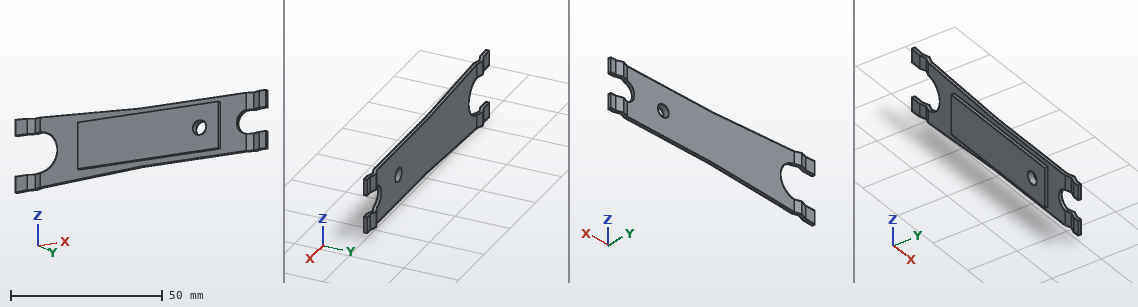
import cadquery as cq
import math

LENGTH = 95.0
HALF_LENGTH = LENGTH / 2
THICKNESS = 1.2
WIDE_END = 25.0
NARROW_END = 19.95

WIDE_SLOT = 14.1
WIDE_SLOT_DEPTH = 15.9
NARROW_SLOT = 8.3
NARROW_SLOT_DEPTH = 11.0

RIDGE_RISE = 0.9
RIDGE_HALF_WIDTH = 2.5
WIDE_RIDGE_INSET = 7.0
NARROW_RIDGE_INSET = 5.0

PAD_LENGTH = 53.3
PAD_HEIGHT = 16.0
PAD_THICKNESS = 1.2
PAD_CENTER_X = 3.5
HOLE_DIAMETER = 5.0
HOLE_X = 23.0


def ridge_points(center_x, offset):
    """Foot, apex and foot of a ridge on the surface lying offset above the -Y face of the sheet."""
    slope = math.atan2(RIDGE_RISE, RIDGE_HALF_WIDTH)
    half_width = RIDGE_HALF_WIDTH + offset * math.tan(slope / 2)
    apex_y = RIDGE_RISE + offset / math.cos(slope)
    return [
        (center_x - half_width, offset),
        (center_x, apex_y),
        (center_x + half_width, offset),
    ]


def folded_sheet():
    """Sheet of even thickness with two ridges, as tall as the wide end."""
    wide_ridge_x = -HALF_LENGTH + WIDE_RIDGE_INSET
    narrow_ridge_x = HALF_LENGTH - NARROW_RIDGE_INSET
    front = [
        (-HALF_LENGTH, 0),
        *ridge_points(wide_ridge_x, 0),
        *ridge_points(narrow_ridge_x, 0),
        (HALF_LENGTH, 0),
    ]
    back = [
        (-HALF_LENGTH, THICKNESS),
        *ridge_points(wide_ridge_x, THICKNESS),
        *ridge_points(narrow_ridge_x, THICKNESS),
        (HALF_LENGTH, THICKNESS),
    ]
    return cq.Workplane("XY").polyline(front + back[::-1]).close().extrude(WIDE_END / 2, both=True)


def tapered_outline():
    """Block with the plate outline: tapered up to the middle, then straight."""
    upper = [
        (-HALF_LENGTH, WIDE_END / 2),
        (0, NARROW_END / 2),
        (HALF_LENGTH, NARROW_END / 2),
    ]
    lower = [(x, -z) for x, z in reversed(upper)]
    return cq.Workplane("XZ").polyline(upper + lower).close().extrude(LENGTH, both=True)


def end_slot(side, width, depth):
    """Round-bottomed cutter open at the end given by side: -1 for -X, 1 for +X."""
    radius = width / 2
    end_x = side * HALF_LENGTH
    bottom_x = end_x - side * depth
    center_x = bottom_x + side * radius
    return (
        cq.Workplane("XZ")
        .moveTo(end_x, radius)
        .lineTo(center_x, radius)
        .threePointArc((bottom_x, 0), (center_x, -radius))
        .lineTo(end_x, -radius)
        .close()
        .extrude(LENGTH, both=True)
    )


def raised_pad():
    """Rectangular pad standing on the -Y face of the plate."""
    return (
        cq.Workplane("XY")
        .box(PAD_LENGTH, PAD_THICKNESS, PAD_HEIGHT)
        .translate((PAD_CENTER_X, -PAD_THICKNESS / 2, 0))
    )


def through_hole():
    """Round cutter along Y, passing through the plate and the pad."""
    return cq.Workplane("XZ").center(HOLE_X, 0).circle(HOLE_DIAMETER / 2).extrude(LENGTH, both=True)


def make_tool():
    """Forked plate with the -Y face of its sheet on Y = 0, its raised pad and the hole through both."""
    return (
        folded_sheet()
        .intersect(tapered_outline())
        .cut(end_slot(-1, WIDE_SLOT, WIDE_SLOT_DEPTH))
        .cut(end_slot(1, NARROW_SLOT, NARROW_SLOT_DEPTH))
        .union(raised_pad())
        .cut(through_hole())
        .solids()
    )


tool = make_tool()

result = cq.Compound.makeCompound([tool.val()])